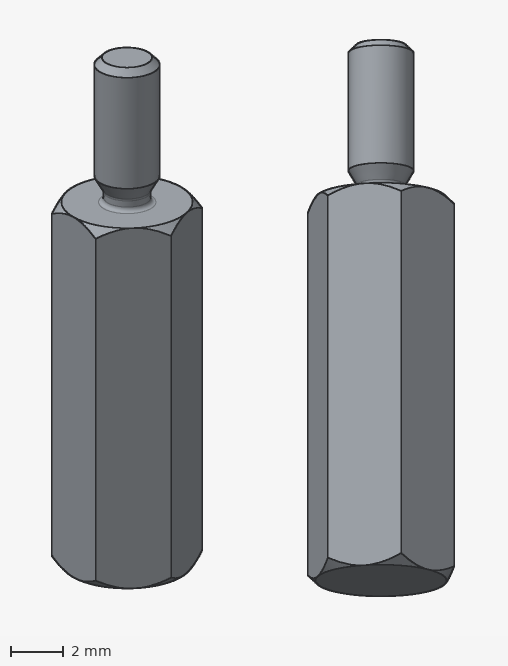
import cadquery as cq
import math

total_height = 21.0
body_height = 15.0
across_flats = 5.0
across_corners = across_flats / math.cos(math.radians(30))

stud_diameter = 2.5
tip_chamfer = 0.3
neck_diameter = 1.8
undercut_height = 1.1
cone_half_angle = 30.0
neck_fillet = 0.19


def hex_body():
    """Hexagonal bar with 45 degree conical chamfers on the corners at both ends."""
    hexagon = cq.Workplane("XY").polygon(6, across_corners).extrude(body_height)
    corner_chamfer = (across_corners - across_flats) / 2
    envelope = (
        cq.Workplane("XY")
        .circle(across_corners / 2)
        .extrude(body_height)
        .faces("<Z or >Z")
        .chamfer(corner_chamfer)
    )
    return hexagon.intersect(envelope)


def stud():
    """Revolved stud with a chamfered tip and an undercut neck at its root."""
    stud_radius = stud_diameter / 2
    neck_radius = neck_diameter / 2
    cone_top = body_height + undercut_height
    diagonal = neck_fillet * math.sqrt(0.5)
    fillet_center = (neck_radius + neck_fillet, body_height + neck_fillet)
    fillet_middle = (fillet_center[0] - diagonal, fillet_center[1] - diagonal)
    cone_angle = math.radians(cone_half_angle)
    cone_height = (stud_radius - neck_radius) / math.tan(cone_angle)
    blend_length = neck_fillet * math.tan(cone_angle / 2)
    blend_corner = cone_top - cone_height
    blend_end = (
        neck_radius + blend_length * math.sin(cone_angle),
        blend_corner + blend_length * math.cos(cone_angle),
    )
    blend_middle = (
        neck_radius + neck_fillet * (1 - math.cos(cone_angle / 2)),
        blend_corner - blend_length + neck_fillet * math.sin(cone_angle / 2),
    )
    return (
        cq.Workplane("XZ")
        .moveTo(0, body_height)
        .lineTo(neck_radius + neck_fillet, body_height)
        .threePointArc(fillet_middle, (neck_radius, body_height + neck_fillet))
        .lineTo(neck_radius, blend_corner - blend_length)
        .threePointArc(blend_middle, blend_end)
        .lineTo(stud_radius, cone_top)
        .lineTo(stud_radius, total_height - tip_chamfer)
        .lineTo(stud_radius - tip_chamfer, total_height)
        .lineTo(0, total_height)
        .close()
        .revolve(360, (0, 0, 0), (0, 1, 0))
    )


result = hex_body().union(stud())